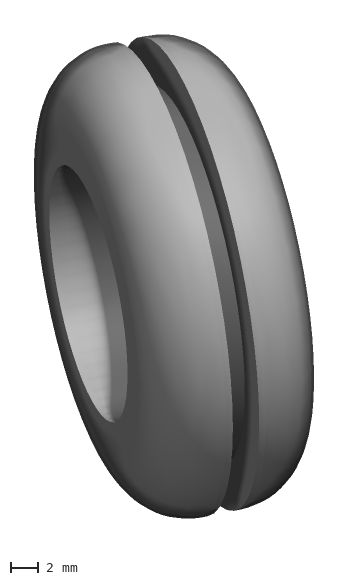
import cadquery as cq

outer_diameter = 35.0
width = 13.0
bore_diameter = 19.0

groove_diameter = 28.0
groove_width = 2.0

edge_radius = 5.0


def cylinder_along_y(diameter, length):
    """Solid cylinder on the Y axis, centred on the origin."""
    return cq.Workplane("XZ", origin=(0, length / 2, 0)).circle(diameter / 2).extrude(length)


body = cylinder_along_y(outer_diameter, width).edges("%CIRCLE").fillet(edge_radius)

groove = cylinder_along_y(outer_diameter, groove_width).cut(
    cylinder_along_y(groove_diameter, groove_width)
)

bore = cylinder_along_y(bore_diameter, width)

result = body.cut(groove).cut(bore)